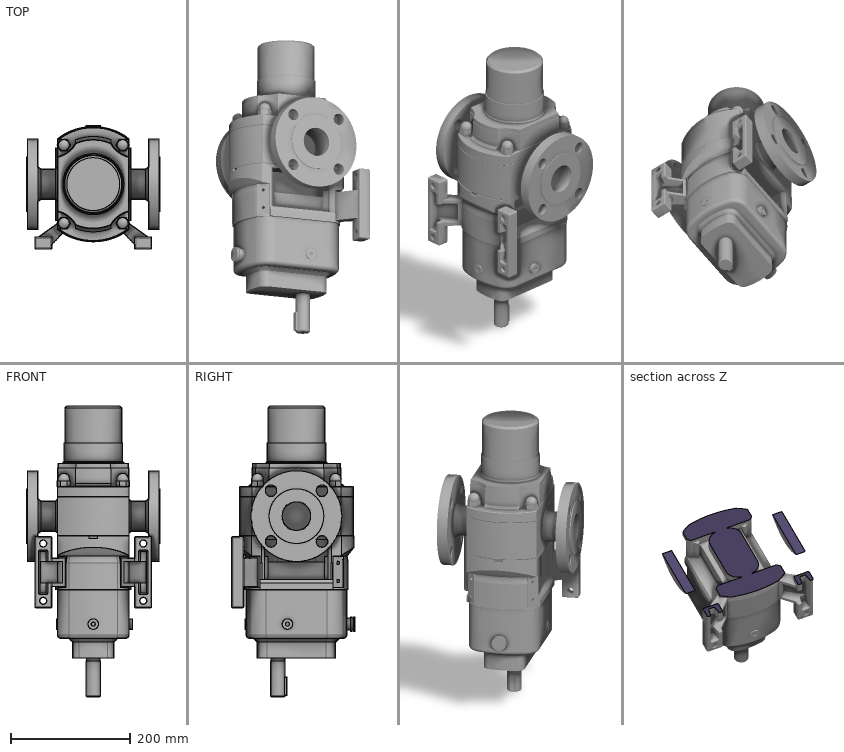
import cadquery as cq
import math


Z_NOSE = 65.0
Z_GEARBOX = 98.0
Z_BRACKET = 180.0
Z_SHOULDER = 236.0
Z_CASING = 269.0
Z_COVER = 334.5
Z_COVER_PLATE = 352.5
Z_HEAD_STEP = 383.2
Z_HEAD = 391.0
Z_TOP = 487.5

SIDE_X = 60.0
CASING_RADIUS = 95.5
FLANGE_RADIUS = 96.5
SEAM_CHAMFER = 1.0

HEAD_SIDE_X = 59.5
LOBE_RADIUS = 74.5
LOBE_HALF_WIDTH = 29.5
SCALLOP_MIDDLE = (42.5, 54.0)
SCALLOP_END_Y = 46.0
HEAD_STEP = 0.75
LOBE_TOE_RADIUS = 80.0
LOBE_TOE_HEIGHT = 5.0
LOBE_TOE_SLOPE = 4.0
NUT_X = 49.2
NUT_Y = 65.5
NUT_CORNERS = 22.5
NUT_HEX_HEIGHT = 9.5
DOME_RADIUS = 9.8
DOME_CENTRE_RISE = 3.0
CAN_RADIUS = 48.0
CAN_CHAMFER = 3.5
SLEEVE_RADIUS = 49.2
Z_SLEEVE = 425.5
COLLAR_RADIUS = 51.0
COLLAR_HEIGHT = 3.5

PORT_Z = 303.0
PORT_SPAN = 224.0
PORT_FACE_X = PORT_SPAN / 2
RAISED_FACE_RADIUS = 46.0
RAISED_FACE_HEIGHT = 1.5
PORT_FLANGE_RADIUS = 76.0
PORT_FLANGE_BACK_X = 92.5
NECK_RADIUS = 25.5
HUB_RADIUS = 29.0
HUB_LENGTH = 5.5
BOSS_RADIUS = 28.5
BOSS_LENGTH = 3.5
BORE_RADIUS = 24.0
FLANGE_BOLT_SPACING = 85.5
FLANGE_BOLT_DIAMETER = 19.0

BOX_CORNER = 28.5
BOX_FRONT_RADIUS = 130.0
GEARBOX_HALF_Y = 84.5
BRACKET_HALF_Y = 87.0

UNDERCUT_TOP_Z = 250.5
UNDERCUT_INNER_Y = 74.0
BEVEL_HEIGHT = 11.5
BEVEL_DEPTH = 2.0
SILL_X = 63.0
SILL_HALF_Y = 61.0
SILL_TOP = 197.0
SILL_BEVEL_HEIGHT = 6.0
WINDOW_HALF_Y = 53.0
WINDOW_TOP = 263.5
WINDOW_DEPTH = 22.5
WINDOW_CORNER = 6.0
COLUMN_EDGE = 5.5
LEDGE_Z = 226.0
POST_HALF_X = 29.3
POST_CORNER = 21.5
NOTCH_WIDTH = 14.0
NOTCH_HEIGHT = 4.0
NOTCH_DEPTH = 4.0

PAD_OUTER = (60.0, 61.5)
PAD_INNER = (46.0, 78.5)
PAD_BOTTOM = 183.5
PAD_TOP = 235.5
PAD_HOLE_DIAMETER = 5.5
PAD_HOLE_DEPTH = 9.8
PAD_HOLE_SPACING = 30.0
FOOT_OUTER_X = 98.0
FOOT_INNER_X = 69.0
FOOT_FRONT_Y = 108.5
FOOT_BACK_Y = 88.3
FOOT_BOTTOM = 149.0
FOOT_TOP = 268.5
FOOT_FILLET = 2.5
FOOT_HOLE_DIAMETER = 11.0
FOOT_HOLE_END_DISTANCE = 11.5
FOOT_HOLE_X = 84.0
POCKET_WIDTH = 15.5
POCKET_LENGTH = 75.0
POCKET_DEPTH = 15.5
POCKET_CORNER = 3.5
POCKET_DRAFT = 10.0
ARM_BOTTOM = 185.0
ARM_TOP = 232.5
RIB_THICKNESS = 6.0
ARM_PLAN = [(-53.5, -61.5), (-60.0, -66.0), (-92.0, -88.5), (-69.0, -101.0), (-47.5, -78.0), (-44.0, -73.0)]
CHANNEL_ROOT = (-60.0, -71.5)
CHANNEL_BAR = (-88.5, -91.5)
CHANNEL_MOUTH_X = 58.5
CHANNEL_LIP = (-48.0, -87.0)

GEARBOX_FILLET = 6.0
NOSE_HALF_X = 34.5
NOSE_HALF_Y = 66.0
NOSE_CORNER = 13.5
NOSE_FRONT_RADIUS = 105.0
NOSE_FLARE = 6.0
NOSE_FLARE_CHAMFER = 5.5
PLUG_Z = 122.0
PLUG_RADIUS = 9.0
PLUG_HEIGHT = 1.5
PLUG_SOCKET_RADIUS = 3.5
PLUG_SOCKET_DEPTH = 3.0
SIDE_PLUG_Y = -15.0
GAUGE_HEIGHT = 6.0
BREATHER_TIP_Y = 98.0
BREATHER_ROOT = 5.0
BREATHER_NECK_RADIUS = 10.0
BREATHER_HEAD_RADIUS = 12.0
BREATHER_DISC = 2.5
SHAFT_Y = -31.0
SHAFT_RADIUS = 12.0
SHAFT_CHAMFER = 1.5
SHAFT_NECK_RADIUS = 11.5
SHAFT_NECK_LENGTH = 4.5
KEY_WIDTH = 8.0
KEY_RISE = 3.0
KEY_BOTTOM = 2.5
KEY_LENGTH = 30.5


def plate(width, depth, z_bottom, z_top):
    """Box centred on the pump axis."""
    return cq.Workplane("XY").workplane(offset=z_bottom).rect(width, depth).extrude(z_top - z_bottom)


def disc(radius, z_bottom, z_top):
    """Cylinder on the pump axis."""
    return cq.Workplane("XY").workplane(offset=z_bottom).circle(radius).extrude(z_top - z_bottom)


def barrel(radius, z_bottom, z_top):
    """Cylinder with two flat sides."""
    return disc(radius, z_bottom, z_top).intersect(plate(2 * SIDE_X, 2 * radius, z_bottom, z_top))


def bulged_box(half_x, half_y, corner, front_radius, z_bottom, z_top):
    """Box with flat sides, arched front and back, and rounded corners."""
    arch_y = half_y - front_radius + math.sqrt(front_radius**2 - half_x**2)
    outline = (
        cq.Workplane("XY").workplane(offset=z_bottom)
        .moveTo(-half_x, -arch_y)
        .threePointArc((0, -half_y), (half_x, -arch_y))
        .lineTo(half_x, arch_y)
        .threePointArc((0, half_y), (-half_x, arch_y))
        .close()
    )
    return outline.extrude(z_top - z_bottom).edges("|Z").fillet(corner)


def both_sides_x(shape):
    return shape.union(shape.mirror("YZ"))


def both_sides_y(shape):
    return shape.union(shape.mirror("XZ"))


def head_block(inset, z_bottom, z_top):
    """Cover head: flat sides, arched lobes front and back, a scallop round each nut."""
    side_x = HEAD_SIDE_X - inset
    lobe = LOBE_RADIUS - inset
    lobe_x = LOBE_HALF_WIDTH - inset
    lobe_y = math.sqrt(lobe**2 - lobe_x**2)
    mid_x = SCALLOP_MIDDLE[0] - inset
    mid_y = SCALLOP_MIDDLE[1] - inset
    end_y = SCALLOP_END_Y - inset
    outline = (
        cq.Workplane("XY").workplane(offset=z_bottom)
        .moveTo(side_x, -end_y)
        .lineTo(side_x, end_y)
        .threePointArc((mid_x, mid_y), (lobe_x, lobe_y))
        .threePointArc((0, lobe), (-lobe_x, lobe_y))
        .threePointArc((-mid_x, mid_y), (-side_x, end_y))
        .lineTo(-side_x, -end_y)
        .threePointArc((-mid_x, -mid_y), (-lobe_x, -lobe_y))
        .threePointArc((0, -lobe), (lobe_x, -lobe_y))
        .threePointArc((mid_x, -mid_y), (side_x, -end_y))
        .close()
    )
    return outline.extrude(z_top - z_bottom)


def lobe_toes():
    """Sloped toes where the two lobes stand on the cover plate."""
    toe_top = Z_COVER_PLATE + LOBE_TOE_HEIGHT
    cone = (
        disc(LOBE_TOE_RADIUS, Z_COVER_PLATE, toe_top)
        .faces(">Z").chamfer(LOBE_TOE_SLOPE, LOBE_TOE_RADIUS - LOBE_RADIUS)
    )
    return cone.intersect(plate(2 * LOBE_HALF_WIDTH, 2 * LOBE_TOE_RADIUS, Z_COVER_PLATE, toe_top))


def cap_nut(x, y):
    hex_top = Z_COVER_PLATE + NUT_HEX_HEIGHT
    nut = (
        cq.Workplane("XY").workplane(offset=Z_COVER_PLATE)
        .center(x, y).polygon(6, NUT_CORNERS).extrude(NUT_HEX_HEIGHT)
    )
    dome = cq.Workplane("XY").sphere(DOME_RADIUS).translate((x, y, hex_top + DOME_CENTRE_RISE))
    return nut.union(dome)


def make_cover():
    cover = barrel(CASING_RADIUS, Z_COVER, Z_COVER_PLATE).faces("<Z or >Z").chamfer(SEAM_CHAMFER)
    cover = cover.union(head_block(0, Z_COVER_PLATE, Z_HEAD_STEP))
    cover = cover.union(head_block(HEAD_STEP, Z_HEAD_STEP, Z_HEAD))
    cover = cover.union(lobe_toes())
    for x in (-NUT_X, NUT_X):
        for y in (-NUT_Y, NUT_Y):
            cover = cover.union(cap_nut(x, y))
    collar = disc(COLLAR_RADIUS, Z_HEAD, Z_HEAD + COLLAR_HEIGHT)
    cover = cover.union(collar.faces(">Z").chamfer(COLLAR_RADIUS - SLEEVE_RADIUS))
    cover = cover.union(disc(SLEEVE_RADIUS, Z_HEAD, Z_SLEEVE))
    return cover.union(disc(CAN_RADIUS, Z_HEAD, Z_TOP).faces(">Z").chamfer(CAN_CHAMFER))


def port():
    """Flanged port on the +X side, turned about the X axis."""
    profile = [
        (0, 0),
        (0, BOSS_RADIUS),
        (SIDE_X, BOSS_RADIUS),
        (SIDE_X + BOSS_LENGTH, NECK_RADIUS),
        (PORT_FLANGE_BACK_X - HUB_LENGTH, NECK_RADIUS),
        (PORT_FLANGE_BACK_X, HUB_RADIUS),
        (PORT_FLANGE_BACK_X, PORT_FLANGE_RADIUS),
        (PORT_FACE_X - RAISED_FACE_HEIGHT, PORT_FLANGE_RADIUS),
        (PORT_FACE_X - RAISED_FACE_HEIGHT, RAISED_FACE_RADIUS),
        (PORT_FACE_X, RAISED_FACE_RADIUS),
        (PORT_FACE_X, 0),
    ]
    turned = cq.Workplane("XY").polyline(profile).close().revolve(360, (0, 0, 0), (1, 0, 0))
    bolt_holes = (
        cq.Workplane("YZ").workplane(offset=PORT_FLANGE_BACK_X)
        .rect(FLANGE_BOLT_SPACING, FLANGE_BOLT_SPACING, forConstruction=True)
        .vertices().circle(FLANGE_BOLT_DIAMETER / 2).extrude(PORT_FACE_X - PORT_FLANGE_BACK_X)
    )
    return turned.cut(bolt_holes).translate((0, 0, PORT_Z))


def port_bore():
    """Blind bore reaching in to the casing side."""
    return (
        cq.Workplane("YZ").workplane(offset=SIDE_X).center(0, PORT_Z)
        .circle(BORE_RADIUS).extrude(PORT_FACE_X - SIDE_X)
    )


def make_casing():
    casing = barrel(CASING_RADIUS, Z_CASING, Z_COVER).faces("<Z").chamfer(SEAM_CHAMFER)
    casing = casing.union(port()).union(port().mirror("YZ"))
    return casing.cut(port_bore()).cut(port_bore().mirror("YZ"))


def bracket_flange():
    """Round flange under the casing, undercut by a sloping plane at front and back."""
    flange = barrel(FLANGE_RADIUS, Z_SHOULDER, Z_CASING)
    undercut = (
        cq.Workplane("YZ").workplane(offset=-SIDE_X)
        .polyline([
            (-UNDERCUT_INNER_Y, Z_SHOULDER),
            (-FLANGE_RADIUS, UNDERCUT_TOP_Z),
            (-FLANGE_RADIUS, Z_SHOULDER),
        ])
        .close().extrude(2 * SIDE_X)
    )
    notch = (
        cq.Workplane("XY").workplane(offset=Z_CASING - NOTCH_HEIGHT)
        .center(0, -FLANGE_RADIUS).rect(NOTCH_WIDTH, 2 * NOTCH_DEPTH).extrude(NOTCH_HEIGHT)
    )
    return flange.cut(both_sides_y(undercut)).cut(both_sides_y(notch))


def flange_haunch():
    """Ruled wedge on the -Y side that leads from the box shoulder out to the undercut of the flange."""
    edge_y = math.sqrt(FLANGE_RADIUS**2 - SIDE_X**2)
    slope = (UNDERCUT_TOP_Z - Z_SHOULDER) / (FLANGE_RADIUS - UNDERCUT_INNER_Y)
    edge_z = Z_SHOULDER + slope * (edge_y - UNDERCUT_INNER_Y)
    foot_y = BRACKET_HALF_Y - BEVEL_DEPTH
    lower_arc = cq.Edge.makeThreePointArc(
        cq.Vector(-SIDE_X, -UNDERCUT_INNER_Y, Z_SHOULDER),
        cq.Vector(0, -foot_y, Z_SHOULDER),
        cq.Vector(SIDE_X, -UNDERCUT_INNER_Y, Z_SHOULDER),
    )
    upper_arc = cq.Edge.makeThreePointArc(
        cq.Vector(-SIDE_X, -edge_y, edge_z),
        cq.Vector(0, -FLANGE_RADIUS, UNDERCUT_TOP_Z),
        cq.Vector(SIDE_X, -edge_y, edge_z),
    )
    sections = []
    for arc in (lower_arc, upper_arc):
        chord = cq.Edge.makeLine(arc.endPoint(), arc.startPoint())
        sections.append(cq.Wire.assembleEdges([arc, chord]))
    return cq.Workplane(cq.Solid.makeLoft(sections, True))


def bracket_box():
    """Arched box whose walls lean in towards the shoulder, except at the flat sides."""
    bevel_z = Z_SHOULDER - BEVEL_HEIGHT
    lean = math.degrees(math.atan(BEVEL_DEPTH / BEVEL_HEIGHT))
    box = bulged_box(SIDE_X, BRACKET_HALF_Y, BOX_CORNER, BOX_FRONT_RADIUS, Z_BRACKET, bevel_z)
    box = box.faces(">Z").wires().toPending().extrude(BEVEL_HEIGHT, taper=lean)
    return box.union(plate(2 * SIDE_X, 2 * SILL_HALF_Y, bevel_z, Z_SHOULDER))


def sill():
    """Lip below the side windows."""
    lip = plate(2 * SILL_X, 2 * SILL_HALF_Y, Z_BRACKET, SILL_TOP)
    return lip.faces("<X or >X").edges(">Z").chamfer(SILL_BEVEL_HEIGHT, SILL_X - SIDE_X)


def windows():
    """Cutter for both side windows: a shallow recess, and an upper space reaching to the central post."""
    inner_x = SIDE_X - WINDOW_DEPTH
    recess = (
        cq.Workplane("XY").workplane(offset=SILL_TOP)
        .center((inner_x + SILL_X) / 2, 0).rect(SILL_X - inner_x, 2 * WINDOW_HALF_Y)
        .extrude(WINDOW_TOP - SILL_TOP).edges("|Z and <X").fillet(WINDOW_CORNER)
    )
    mouth_y = WINDOW_HALF_Y + COLUMN_EDGE
    mouth = (
        cq.Workplane("XY").workplane(offset=SILL_TOP)
        .polyline([
            (SIDE_X - COLUMN_EDGE, -WINDOW_HALF_Y),
            (SIDE_X, -mouth_y),
            (SIDE_X, mouth_y),
            (SIDE_X - COLUMN_EDGE, WINDOW_HALF_Y),
        ])
        .close().extrude(WINDOW_TOP - SILL_TOP)
    )
    post = plate(2 * POST_HALF_X, 2 * WINDOW_HALF_Y, LEDGE_Z, WINDOW_TOP).edges("|Z").fillet(POST_CORNER)
    space = plate(2 * SIDE_X, 2 * WINDOW_HALF_Y, LEDGE_Z, WINDOW_TOP).cut(post)
    return both_sides_x(recess.union(mouth)).union(space)


def foot_pad():
    """Slanted pad on the +X +Y corner of the bracket, the space in front of it, and its two screw holes."""
    run_x = PAD_INNER[0] - PAD_OUTER[0]
    run_y = PAD_INNER[1] - PAD_OUTER[1]
    length = math.hypot(run_x, run_y)
    middle = (
        (PAD_OUTER[0] + PAD_INNER[0]) / 2,
        (PAD_OUTER[1] + PAD_INNER[1]) / 2,
        (PAD_BOTTOM + PAD_TOP) / 2,
    )
    face = cq.Plane(origin=middle, xDir=(run_x, run_y, 0), normal=(run_y, -run_x, 0))
    pad = cq.Workplane(face).rect(length, PAD_TOP - PAD_BOTTOM).extrude(-length)
    clearance = cq.Workplane(face).rect(length, PAD_TOP - PAD_BOTTOM).extrude(length)
    holes = (
        cq.Workplane(face).pushPoints([(0, -PAD_HOLE_SPACING / 2), (0, PAD_HOLE_SPACING / 2)])
        .circle(PAD_HOLE_DIAMETER / 2).extrude(-PAD_HOLE_DEPTH)
    )
    return pad, clearance, holes


def foot():
    """Foot on the -X side: an upright bar on a slanted arm that is a channel open to the front."""
    bar = cq.Workplane("XY").box(
        FOOT_OUTER_X - FOOT_INNER_X, FOOT_FRONT_Y - FOOT_BACK_Y, FOOT_TOP - FOOT_BOTTOM, centered=False
    )
    bar = bar.translate((-FOOT_OUTER_X, -FOOT_FRONT_Y, FOOT_BOTTOM)).edges().fillet(FOOT_FILLET)
    arm = (
        cq.Workplane("XY").workplane(offset=ARM_BOTTOM)
        .polyline(ARM_PLAN).close().extrude(ARM_TOP - ARM_BOTTOM)
    )
    channel = (
        cq.Workplane("XY").workplane(offset=ARM_BOTTOM + RIB_THICKNESS)
        .polyline([
            CHANNEL_ROOT,
            CHANNEL_BAR,
            (CHANNEL_BAR[0], -FOOT_FRONT_Y),
            (-CHANNEL_MOUTH_X, -FOOT_FRONT_Y),
            CHANNEL_LIP,
        ])
        .close().extrude(ARM_TOP - ARM_BOTTOM - 2 * RIB_THICKNESS)
    )
    front = cq.Workplane("XZ", origin=(-FOOT_HOLE_X, -FOOT_FRONT_Y, (FOOT_BOTTOM + FOOT_TOP) / 2))
    pocket = (
        front.sketch().rect(POCKET_WIDTH, POCKET_LENGTH).vertices().fillet(POCKET_CORNER).finalize()
        .extrude(-POCKET_DEPTH, taper=POCKET_DRAFT)
    )
    hole_z = (FOOT_TOP - FOOT_BOTTOM) / 2 - FOOT_HOLE_END_DISTANCE
    holes = (
        front.pushPoints([(0, -hole_z), (0, hole_z)])
        .circle(FOOT_HOLE_DIAMETER / 2).extrude(FOOT_BACK_Y - FOOT_FRONT_Y)
    )
    return bar.union(arm).cut(channel).cut(pocket).cut(holes)


def make_bracket():
    bracket = bracket_box().union(bracket_flange()).union(both_sides_y(flange_haunch()))
    bracket = bracket.union(sill()).cut(windows())
    pad, clearance, holes = foot_pad()
    bracket = bracket.union(both_sides_y(both_sides_x(pad)))
    bracket = bracket.cut(both_sides_y(both_sides_x(clearance)))
    bracket = bracket.cut(both_sides_x(holes))
    return bracket.union(both_sides_x(foot()))


def plug(height):
    """Socket plug pointing along +Z, rooted below its seat so that it joins the wall."""
    body = cq.Workplane("XY").workplane(offset=-PLUG_RADIUS).circle(PLUG_RADIUS).extrude(PLUG_RADIUS + height)
    return body.faces(">Z").workplane().circle(PLUG_SOCKET_RADIUS).cutBlind(-PLUG_SOCKET_DEPTH)


def breather():
    """Breather on the +Y wall: a neck carrying two discs with a groove between them."""
    neck_length = BREATHER_TIP_Y - GEARBOX_HALF_Y
    neck = (
        cq.Workplane("XY").workplane(offset=-BREATHER_ROOT)
        .circle(BREATHER_NECK_RADIUS).extrude(BREATHER_ROOT + neck_length)
    )
    for start in (neck_length - 3 * BREATHER_DISC, neck_length - BREATHER_DISC):
        ring = cq.Workplane("XY").workplane(offset=start).circle(BREATHER_HEAD_RADIUS).extrude(BREATHER_DISC)
        neck = neck.union(ring)
    return neck.rotate((0, 0, 0), (1, 0, 0), -90).translate((0, GEARBOX_HALF_Y, PLUG_Z))


def shaft():
    """Drive shaft, set off the pump axis, with a key on its +Y side."""
    shaft_plane = cq.Workplane("XY", origin=(0, SHAFT_Y, 0))
    rod_length = Z_NOSE - SHAFT_NECK_LENGTH
    rod = shaft_plane.circle(SHAFT_RADIUS).extrude(rod_length).faces("<Z").chamfer(SHAFT_CHAMFER)
    neck = (
        shaft_plane.workplane(offset=rod_length)
        .circle(SHAFT_NECK_RADIUS).extrude(SHAFT_NECK_LENGTH)
    )
    key_reach = SHAFT_RADIUS + KEY_RISE
    key = (
        shaft_plane.workplane(offset=KEY_BOTTOM)
        .center(0, key_reach / 2).rect(KEY_WIDTH, key_reach).extrude(KEY_LENGTH)
    )
    return rod.union(neck).union(key)


def make_gearbox():
    box = bulged_box(SIDE_X, GEARBOX_HALF_Y, BOX_CORNER, BOX_FRONT_RADIUS, Z_GEARBOX, Z_BRACKET)
    gearbox = box.faces("<Z").edges().fillet(GEARBOX_FILLET).faces(">Z").chamfer(SEAM_CHAMFER)
    nose = bulged_box(NOSE_HALF_X, NOSE_HALF_Y, NOSE_CORNER, NOSE_FRONT_RADIUS, Z_NOSE, Z_GEARBOX)
    flare = bulged_box(
        NOSE_HALF_X + NOSE_FLARE, NOSE_HALF_Y + NOSE_FLARE, NOSE_CORNER + NOSE_FLARE,
        NOSE_FRONT_RADIUS + NOSE_FLARE, Z_GEARBOX - NOSE_FLARE, Z_GEARBOX,
    )
    flare = flare.faces("<Z").edges().chamfer(NOSE_FLARE_CHAMFER)
    gearbox = gearbox.union(nose).union(flare).union(shaft())
    front_plug = plug(PLUG_HEIGHT).rotate((0, 0, 0), (1, 0, 0), 90)
    gearbox = gearbox.union(front_plug.translate((0, -GEARBOX_HALF_Y, PLUG_Z)))
    left_plug = plug(PLUG_HEIGHT).rotate((0, 0, 0), (0, 1, 0), -90)
    gearbox = gearbox.union(left_plug.translate((-SIDE_X, SIDE_PLUG_Y, PLUG_Z)))
    gauge = plug(GAUGE_HEIGHT).rotate((0, 0, 0), (0, 1, 0), 90)
    gearbox = gearbox.union(gauge.translate((SIDE_X, SIDE_PLUG_Y, PLUG_Z)))
    return gearbox.union(breather())


cover = make_cover()
casing = make_casing()
bracket = make_bracket()
gearbox = make_gearbox()

result = cq.Compound.makeCompound([cover.val(), casing.val(), bracket.val(), gearbox.val()])